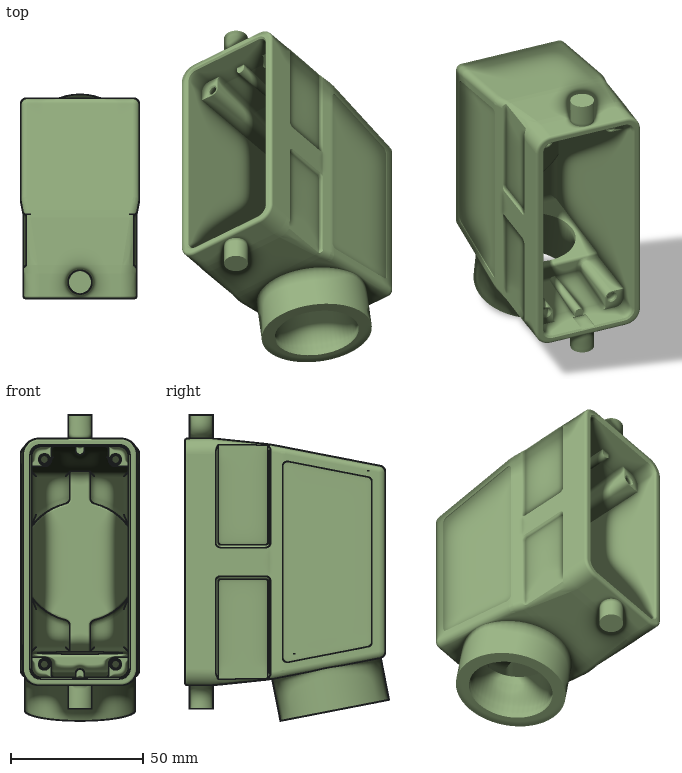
import cadquery as cq
import math


mouth_half_width = 21.5
body_half_width = 22.5
mouth_half_height = 46.75
body_back_y = 75.9
mouth_corner_radius = 6.0
body_edge_radius = 2.5
mouth_edge_radius = 1.0

gentle_slope = math.tan(math.radians(6))
steep_angle = 11.0
steep_slope = math.tan(math.radians(steep_angle))
gentle_kink_y = 11.1
gentle_blend = 1.55
steep_kink_y = 32.1
steep_blend = 1.4
steep_kink_half_height = mouth_half_height - gentle_slope * (steep_kink_y - gentle_kink_y)

flare_start_y = 32.0
flare_end_y = 36.9
flare_blend_radius = 10.0

wall = 2.4
cavity_half_width = 18.3
cavity_half_height = mouth_half_height - 3.05
cavity_corner_radius = 3.5
cavity_kink_y = 13.5
cavity_steep_y = 32.0
cavity_steep_half_height = cavity_half_height - gentle_slope * (cavity_steep_y - cavity_kink_y)
mouth_chamfer = 0.65
floor_y = body_back_y - wall
pad_depth = 3.0
raised_floor_y = floor_y - pad_depth
raised_circle_radius = 22.7
raised_strip_half_width = 3.8
pad_corner_radius = 2.4
pad_floor_radius = 2.0
raised_edge_radius = 0.9

ledge_y = 33.4
ledge_z = -35.0
block_slope = 0.027
ledge_edge_radius = 1.2

screw_x = 13.5
screw_z = 38.75
boss_front_y = 9.0
boss_wall = 2.6
boss_corner_radius = 2.5
screw_hole_diameter = 3.2
screw_hole_depth = 15.0
screw_chamfer = 0.5
rib_radius = 1.65
rib_center_z = 42.2
notch_width = 5.4
notch_depth = 0.3
pin_diameter = 9.0
pin_y = 6.2
pin_end_z = 55.65

pocket_front_y = 11.6
pocket_back_y = 32.5
pocket_inner_z = 5.4
pocket_depth = 1.1
pocket_corner_radius = 2.0
pocket_wall_angle = 45.0
panel_front_y = 37.0
panel_back_y = 70.8
panel_inset = 5.2
panel_depth = 0.3
panel_corner_radius = 1.8

entry_diameter = 42.0
entry_bore_diameter = 32.0
entry_end_y = 56.7
entry_end_z = -56.25
entry_length = 17.2
entry_bore_length = 26.0

margin = 0.1


def near_point(x, y, z):
    """Selector of the edge whose middle is nearest to a point."""
    return cq.selectors.NearestToPointSelector((x, y, z))


def outer_half_height(y):
    """Half height of the outer shell at depth y, with a flat band across each change of slope."""
    gentle_z = mouth_half_height - gentle_slope * (y - gentle_kink_y)
    steep_z = steep_kink_half_height - steep_slope * (y - steep_kink_y)
    gentle_share = (y - gentle_kink_y + gentle_blend) / (2 * gentle_blend)
    gentle_band_z = mouth_half_height - gentle_share * gentle_slope * gentle_blend
    steep_share = (y - steep_kink_y + steep_blend) / (2 * steep_blend)
    steep_band_z = (
        steep_kink_half_height
        + gentle_slope * steep_blend
        - steep_share * (gentle_slope + steep_slope) * steep_blend
    )
    return min(mouth_half_height, gentle_z, steep_z, gentle_band_z, steep_band_z)


def side_profile(points, half_width):
    """Closed (Y, Z) outline extruded symmetrically along X."""
    return cq.Workplane("YZ").polyline(points).close().extrude(half_width, both=True)


def rounded_rectangle(y, half_width, half_height, radius):
    """Wire of a rounded rectangle in the plane Y = y."""
    corners = [
        cq.Vector(-half_width, y, -half_height),
        cq.Vector(half_width, y, -half_height),
        cq.Vector(half_width, y, half_height),
        cq.Vector(-half_width, y, half_height),
    ]
    wire = cq.Wire.makePolygon(corners, close=True)
    return wire.fillet2D(radius, wire.Vertices())


def mouth_part():
    """Front of the shell; its corner radius shrinks from the mouth towards the body."""
    depths = [
        gentle_kink_y - gentle_blend,
        gentle_kink_y + gentle_blend,
        steep_kink_y - steep_blend,
        flare_start_y,
    ]
    taper_length = flare_start_y - depths[0]
    wires = [rounded_rectangle(0, mouth_half_width, mouth_half_height, mouth_corner_radius)]
    for y in depths:
        share = (y - depths[0]) / taper_length
        radius = mouth_corner_radius + share * (body_edge_radius - mouth_corner_radius)
        wires.append(rounded_rectangle(y, mouth_half_width, outer_half_height(y), radius))
    part = cq.Workplane(cq.Solid.makeLoft(wires, True))
    return part.faces("<Y").edges().fillet(mouth_edge_radius)


def body_part():
    """Rear of the shell: sloping top and bottom, flared sides, rounded edges."""
    start_z = outer_half_height(flare_start_y)
    back_z = outer_half_height(body_back_y)
    blend_y = steep_kink_y + steep_blend
    blend_z = outer_half_height(blend_y)
    outline = [
        (flare_start_y, start_z),
        (blend_y, blend_z),
        (body_back_y, back_z),
        (body_back_y, -back_z),
        (blend_y, -blend_z),
        (flare_start_y, -start_z),
    ]
    profile = side_profile(outline, body_half_width)
    plan = (
        cq.Workplane("XY")
        .polyline([
            (-mouth_half_width, flare_start_y),
            (mouth_half_width, flare_start_y),
            (body_half_width, flare_end_y),
            (body_half_width, body_back_y),
            (-body_half_width, body_back_y),
            (-body_half_width, flare_end_y),
        ])
        .close()
        .extrude(mouth_half_height, both=True)
    )
    for x in (-body_half_width, body_half_width):
        plan = plan.edges("|Z").edges(near_point(x, flare_end_y, 0)).fillet(flare_blend_radius)
    body = profile.intersect(plan)
    return body.edges("(not(|X or |Z)) or >Y").fillet(body_edge_radius)


def cavity_top_z(y):
    """Height of the cavity's steep top wall at depth y."""
    return cavity_steep_half_height - steep_slope * (y - cavity_steep_y)


def cavity_space():
    """Inside of the hood down to its deepest floor, with corners rounded along its front part."""
    profile = [
        (0, cavity_half_height),
        (cavity_kink_y, cavity_half_height),
        (cavity_steep_y, cavity_steep_half_height),
        (floor_y, cavity_top_z(floor_y)),
        (floor_y, ledge_z + block_slope * (floor_y - ledge_y)),
        (ledge_y, ledge_z),
        (ledge_y, -cavity_steep_half_height),
        (cavity_kink_y, -cavity_half_height),
        (0, -cavity_half_height),
    ]
    space = side_profile(profile, cavity_half_width)
    front_corners = cq.selectors.BoxSelector(
        (-body_half_width, 0, -mouth_half_height),
        (body_half_width, cavity_steep_y, mouth_half_height),
    )
    rounded = space.edges("not(|X or |Z)").edges(front_corners).fillet(cavity_corner_radius)
    rear = space.faces(">Y").workplane(offset=cavity_steep_y - floor_y).split(keepTop=True)
    return rounded.union(rear)


def raised_floor():
    """Circle and strip that stand up from the cavity floor."""
    depth = body_back_y - raised_floor_y
    plane = cq.Workplane("XZ", origin=(0, raised_floor_y, 0))
    circle = plane.circle(raised_circle_radius).extrude(-depth)
    strip = plane.rect(2 * raised_strip_half_width, 2 * mouth_half_height).extrude(-depth)
    raised = circle.union(strip)
    joints = cq.selectors.BoxSelector(
        (-raised_strip_half_width - margin, raised_floor_y, -raised_circle_radius),
        (raised_strip_half_width + margin, body_back_y, raised_circle_radius),
    )
    return raised.edges("|Y").edges(joints).fillet(pad_corner_radius)


def floor_layer():
    """Slab between the raised floor and the deepest floor, as wide as the body."""
    layer = cq.Workplane("XY").box(2 * body_half_width, pad_depth, 2 * mouth_half_height)
    return layer.translate((0, raised_floor_y + pad_depth / 2, 0))


def cavity():
    """Whole cavity: open space, and four rounded pads sunk into its floor around the raised part."""
    space = cavity_space()
    pads = space.intersect(floor_layer()).cut(raised_floor())
    pads = pads.faces(">Y").edges().fillet(pad_floor_radius)
    return space.cut(floor_layer()).union(pads)


def round_raised_edges(hollow):
    """Round the upper edges of the raised circle and strip."""
    reach_x = cavity_half_width - margin
    reach_z = -ledge_z - pad_floor_radius
    raised_edges = cq.selectors.BoxSelector(
        (-reach_x, raised_floor_y - margin, -reach_z), (reach_x, raised_floor_y + margin, reach_z)
    )
    return hollow.edges(raised_edges).fillet(raised_edge_radius)


def round_wall_joints(hollow):
    """Round the joints of the ledge and the bosses with the cavity walls."""
    for z in (-cavity_steep_half_height, ledge_z):
        hollow = hollow.edges("|X").edges(near_point(0, ledge_y, z)).fillet(ledge_edge_radius)
    boss_x = screw_x - boss_wall
    for side_z in (1, -1):
        low_z, high_z = sorted((side_z * (screw_z + margin), side_z * mouth_half_height))
        left, right = (
            cq.selectors.BoxSelector(
                (x - margin, boss_front_y + margin, low_z), (x + margin, floor_y, high_z)
            )
            for x in (-boss_x, boss_x)
        )
        hollow = hollow.edges(left + right).fillet(ledge_edge_radius)
    return hollow


def mouth_bevel():
    """Bevel around the inner edge of the mouth."""
    radius = cavity_corner_radius
    outer = rounded_rectangle(
        0, cavity_half_width + mouth_chamfer, cavity_half_height + mouth_chamfer, radius + mouth_chamfer
    )
    inner = rounded_rectangle(mouth_chamfer, cavity_half_width, cavity_half_height, radius)
    return cq.Workplane(cq.Solid.makeLoft([outer, inner], True))


def corner_bosses():
    """Four screw bosses that run along Y in the corners of the cavity."""
    inner_x = screw_x - boss_wall
    inner_z = screw_z - boss_wall
    length = body_back_y - wall / 2 - boss_front_y
    width = cavity_half_width + wall / 2 - inner_x
    height = cavity_half_height + wall / 2 - inner_z
    bosses = cq.Workplane("XY")
    for side_x in (-1, 1):
        for side_z in (-1, 1):
            boss = (
                cq.Workplane("XY")
                .box(width, length, height)
                .translate((
                    side_x * (inner_x + width / 2),
                    boss_front_y + length / 2,
                    side_z * (inner_z + height / 2),
                ))
            )
            inner_edge = near_point(side_x * inner_x, boss_front_y + length / 2, side_z * inner_z)
            bosses = bosses.add(boss.edges("|Y").edges(inner_edge).fillet(boss_corner_radius))
    return bosses.combine()


def center_ribs():
    """Rounded ribs along the middle of the top and bottom walls."""
    length = body_back_y - wall - boss_front_y
    plane = cq.Workplane("XZ", origin=(0, boss_front_y, 0))
    ribs = plane.pushPoints([(0, rib_center_z), (0, -rib_center_z)]).circle(rib_radius).extrude(-length)
    foot_height = wall
    foot_z = rib_center_z + foot_height / 2
    feet = plane.pushPoints([(0, foot_z), (0, -foot_z)]).rect(2 * rib_radius, foot_height).extrude(-length)
    return ribs.union(feet)


def screw_holes():
    """Blind screw holes with countersunk rims, one in each boss."""
    places = [(x, z) for x in (-screw_x, screw_x) for z in (-screw_z, screw_z)]
    plane = cq.Workplane("XZ", origin=(0, boss_front_y, 0))
    holes = plane.pushPoints(places).circle(screw_hole_diameter / 2).extrude(-screw_hole_depth)
    rim_radius = screw_hole_diameter / 2 + screw_chamfer
    for x, z in places:
        rim = cq.Solid.makeCone(
            rim_radius,
            screw_hole_diameter / 2,
            screw_chamfer,
            cq.Vector(x, boss_front_y, z),
            cq.Vector(0, 1, 0),
        )
        holes = holes.union(cq.Workplane(rim))
    return holes


def mouth_notch():
    """Shallow notch in the bottom wall, between the mouth and the lower rib."""
    return cq.Workplane("XY").box(notch_width, boss_front_y, 2 * notch_depth).translate(
        (0, boss_front_y / 2, -cavity_half_height)
    )


def locking_pins():
    """Pins standing out of the top and bottom walls."""
    start_z = mouth_half_height - wall / 2
    pin = (
        cq.Workplane("XY", origin=(0, pin_y, start_z))
        .circle(pin_diameter / 2)
        .extrude(pin_end_z - start_z)
    )
    return pin.union(pin.mirror("XY"))


def side_pockets():
    """Two bevelled pockets on each side, running out over the top and bottom edges."""
    outer_z = mouth_half_height + pocket_depth
    pocket = (
        cq.Workplane("YZ", origin=(mouth_half_width, 0, 0))
        .center((pocket_front_y + pocket_back_y) / 2, (pocket_inner_z + outer_z) / 2)
        .sketch()
        .rect(pocket_back_y - pocket_front_y, outer_z - pocket_inner_z)
        .vertices("<Y")
        .fillet(pocket_corner_radius)
        .finalize()
        .extrude(-pocket_depth, taper=pocket_wall_angle)
    )
    upper = pocket.union(pocket.mirror("YZ"))
    return upper.union(upper.mirror("XY"))


def side_panels():
    """Shallow trapezoid panel sunk into each side of the body."""
    front_z = outer_half_height(panel_front_y) - panel_inset
    back_z = outer_half_height(panel_back_y) - panel_inset
    panel = (
        cq.Workplane("YZ", origin=(body_half_width - panel_depth, 0, 0))
        .polyline([
            (panel_front_y, front_z),
            (panel_back_y, back_z),
            (panel_back_y, -back_z),
            (panel_front_y, -front_z),
        ])
        .close()
        .extrude(2 * panel_depth)
        .edges("|X")
        .fillet(panel_corner_radius)
    )
    return panel.union(panel.mirror("YZ"))


def entry_cylinder(diameter, length):
    """Cylinder along the tilted axis of the cable entry, from its outer end inwards."""
    tilt = math.radians(steep_angle)
    axis = cq.Vector(0, -math.sin(tilt), math.cos(tilt))
    end = cq.Vector(0, entry_end_y, entry_end_z)
    return cq.Workplane(cq.Solid.makeCylinder(diameter / 2, length, end, axis))


shell = mouth_part().union(body_part()).union(entry_cylinder(entry_diameter, entry_length))
shell = shell.cut(side_pockets()).cut(side_panels())
hollow = round_raised_edges(cavity()).cut(corner_bosses())
hollow = round_wall_joints(hollow).cut(center_ribs())
result = (
    shell.cut(hollow)
    .cut(mouth_bevel())
    .cut(mouth_notch())
    .cut(entry_cylinder(entry_bore_diameter, entry_bore_length))
    .cut(screw_holes())
    .union(locking_pins())
)